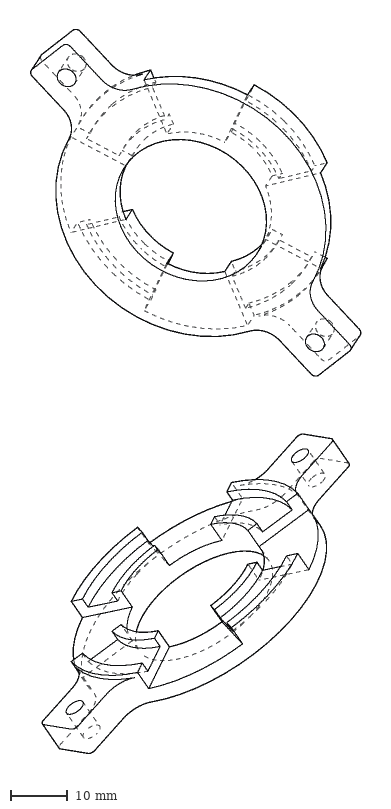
import cadquery as cq
import math

disc_radius = 25.0
bore_radius = 14.0
base_thickness = 3.0
total_thickness = 7.0

segment_count = 4
segment_angle = 360 / segment_count / 2
first_segment_angle = 45
groove_inner_radius = 16
groove_outer_radius = 22.5
groove_depth = 2.0

ear_angles = (135, 315)
overall_size = 59.25
ear_width = 10.0
ear_thickness = 6.0
ear_corner_radius = 1.0
ear_blend_radius = 5.0
ear_hole_offset = 32.5
ear_hole_diameter = 3.5

corner_centre_offset = overall_size / 2 - ear_corner_radius
ear_reach = corner_centre_offset * math.sqrt(2) - ear_width / 2 + 2 * ear_corner_radius


def plane_at(height):
    """Sketch plane facing +Y; its local axes are +Z and +X."""
    return cq.Workplane(cq.Plane(origin=(0, height, 0), xDir=(0, 0, 1), normal=(0, 1, 0)))


def polar(radius, angle):
    """Local (Z, X) point at an angle measured from +X towards +Z."""
    return (radius * math.sin(math.radians(angle)), radius * math.cos(math.radians(angle)))


def ring(inner_radius, outer_radius, start, height):
    return plane_at(start).circle(outer_radius).circle(inner_radius).extrude(height)


def raised_segments():
    """Ring segments with radial sides and an arc groove in their top face."""
    height = total_thickness - base_thickness
    wedge_reach = 2 * disc_radius
    wedges = cq.Workplane()
    for index in range(segment_count):
        middle = first_segment_angle + index * 360 / segment_count
        wedge = (
            plane_at(base_thickness)
            .moveTo(0, 0)
            .lineTo(*polar(wedge_reach, middle - segment_angle / 2))
            .lineTo(*polar(wedge_reach, middle + segment_angle / 2))
            .close()
            .extrude(height)
        )
        wedges = wedges.add(wedge)
    raised_ring = ring(bore_radius, disc_radius, base_thickness, height)
    groove = ring(groove_inner_radius, groove_outer_radius, total_thickness - groove_depth, groove_depth)
    return raised_ring.cut(groove).intersect(wedges.combine())


def ear(angle):
    """Ear along +X, blended into the disc rim by tangent arcs, then turned to its angle."""
    half_width = ear_width / 2
    blend_side = half_width + ear_blend_radius
    blend_distance = disc_radius + ear_blend_radius
    blend_along = math.sqrt(blend_distance**2 - blend_side**2)
    rim_fraction = disc_radius / blend_distance
    rim_side = blend_side * rim_fraction
    rim_along = blend_along * rim_fraction

    to_rim = math.atan2(-blend_along, -blend_side)
    to_ear = -math.pi
    mid_direction = (to_rim + to_ear) / 2
    mid_side = blend_side + ear_blend_radius * math.cos(mid_direction)
    mid_along = blend_along + ear_blend_radius * math.sin(mid_direction)

    blank = (
        plane_at(0)
        .moveTo(rim_side, rim_along)
        .threePointArc((mid_side, mid_along), (half_width, blend_along))
        .lineTo(half_width, ear_reach)
        .lineTo(-half_width, ear_reach)
        .lineTo(-half_width, blend_along)
        .threePointArc((-mid_side, mid_along), (-rim_side, rim_along))
        .threePointArc((0, disc_radius), (rim_side, rim_along))
        .close()
        .extrude(ear_thickness)
        .edges("|Y and >X")
        .fillet(ear_corner_radius)
    )
    hole = plane_at(0).center(0, ear_hole_offset).circle(ear_hole_diameter / 2).extrude(ear_thickness)
    return blank.cut(hole).rotate((0, 0, 0), (0, 1, 0), -angle)


result = ring(bore_radius, disc_radius, 0, base_thickness).union(raised_segments())
for ear_angle in ear_angles:
    result = result.union(ear(ear_angle))